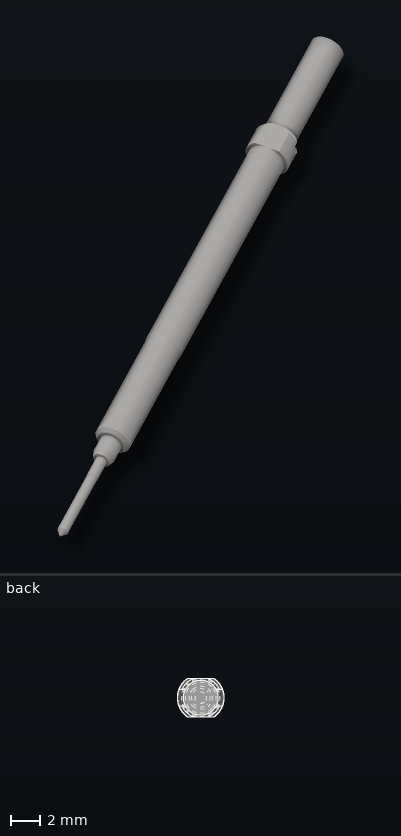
import cadquery as cq

LENGTH = 44.8
COLLAR_START = 8.1
COLLAR_LENGTH = 2.0
TAPER_START = 27.4
TAPER_LENGTH = 0.4
SHOULDER_START = 35.95
SHOULDER_END = 36.2
NOSE_TAPER_START = 37.4
NOSE_END = 37.8
PLUNGER_STEP = 39.42
TIP_LENGTH = 0.5

TAIL_DIAMETER = 2.37
COLLAR_DIAMETER = 3.2
BODY_DIAMETER = 2.65
FRONT_BODY_DIAMETER = 2.55
SHOULDER_DIAMETER = 2.1
NOSE_DIAMETER = 1.55
NOSE_END_DIAMETER = 1.25
PLUNGER_ROOT_DIAMETER = 0.8
PLUNGER_DIAMETER = 0.75

COLLAR_CHAMFER_LENGTH = 0.3
COLLAR_CHAMFER_DROP = 0.2
FLAT_SPACING = BODY_DIAMETER
SLOT_WIDTH = 1.1
SLOT_DEPTH = 0.8
SLOT_END = COLLAR_START + SLOT_DEPTH


def revolve_profile(stations):
    """Turn (distance from rear end, diameter) stations into a solid of revolution about Y."""
    first_distance = stations[0][0]
    last_distance, last_diameter = stations[-1]
    outline = [(0, LENGTH / 2 - first_distance)]
    for distance, diameter in stations:
        outline.append((diameter / 2, LENGTH / 2 - distance))
    if last_diameter > 0:
        outline.append((0, LENGTH / 2 - last_distance))
    return cq.Workplane("XY").polyline(outline).close().revolve(360, (0, 0, 0), (0, 1, 0))


def make_core():
    """Tail, barrel, nose and plunger as one stepped shaft.

    The tail radius continues to the end of the slots, so it forms their floors.
    """
    return revolve_profile([
        (0, TAIL_DIAMETER),
        (SLOT_END, TAIL_DIAMETER),
        (SLOT_END, BODY_DIAMETER),
        (TAPER_START, BODY_DIAMETER),
        (TAPER_START + TAPER_LENGTH, FRONT_BODY_DIAMETER),
        (SHOULDER_START, FRONT_BODY_DIAMETER),
        (SHOULDER_END, SHOULDER_DIAMETER),
        (SHOULDER_END, NOSE_DIAMETER),
        (NOSE_TAPER_START, NOSE_DIAMETER),
        (NOSE_END, NOSE_END_DIAMETER),
        (NOSE_END, PLUNGER_ROOT_DIAMETER),
        (PLUNGER_STEP, PLUNGER_ROOT_DIAMETER),
        (PLUNGER_STEP, PLUNGER_DIAMETER),
        (LENGTH - TIP_LENGTH, PLUNGER_DIAMETER),
        (LENGTH, 0),
    ])


def make_collar():
    """Chamfered collar with flats on +Z and -Z and a rear slot on each X side."""
    collar_end = COLLAR_START + COLLAR_LENGTH
    collar = revolve_profile([
        (COLLAR_START, COLLAR_DIAMETER - 2 * COLLAR_CHAMFER_DROP),
        (COLLAR_START + COLLAR_CHAMFER_LENGTH, COLLAR_DIAMETER),
        (collar_end, COLLAR_DIAMETER),
    ])
    flats = cq.Workplane("XY").box(COLLAR_DIAMETER, LENGTH, FLAT_SPACING)
    slot = (
        cq.Workplane("XY")
        .box(COLLAR_DIAMETER, SLOT_DEPTH, SLOT_WIDTH)
        .translate((0, LENGTH / 2 - COLLAR_START - SLOT_DEPTH / 2, 0))
    )
    return collar.intersect(flats).cut(slot)


result = make_core().union(make_collar())